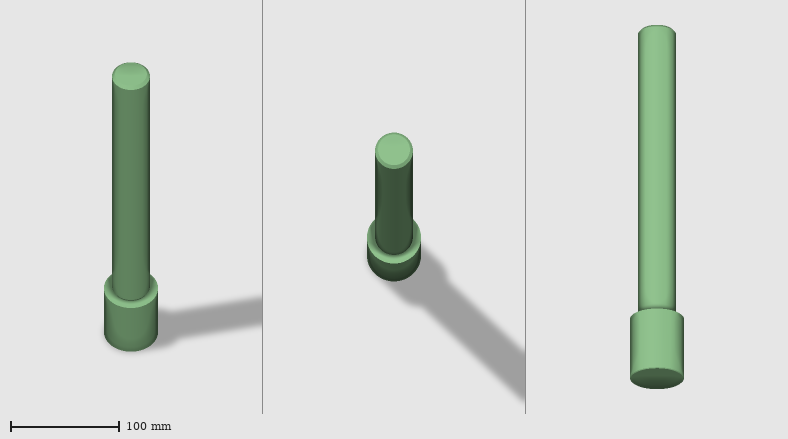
import cadquery as cq

total_length = 350.0
head_diameter = 50.0
head_length = 60.0
shaft_diameter = 35.0

head_chamfer = 0.7
tip_chamfer = 2.8

neck_diameter = 32.2
neck_length = 2.8

head_radius = head_diameter / 2
shaft_radius = shaft_diameter / 2
neck_radius = neck_diameter / 2
neck_top = head_length + neck_length

half_section = (
    cq.Workplane("XZ")
    .moveTo(0, 0)
    .lineTo(head_radius - head_chamfer, 0)
    .lineTo(head_radius, head_chamfer)
    .lineTo(head_radius, head_length)
    .lineTo(neck_radius, head_length)
    .lineTo(neck_radius, neck_top)
    .lineTo(shaft_radius, neck_top)
    .lineTo(shaft_radius, total_length - tip_chamfer)
    .lineTo(shaft_radius - tip_chamfer, total_length)
    .lineTo(0, total_length)
    .close()
)
result = half_section.revolve(360, (0, 0, 0), (0, 1, 0))